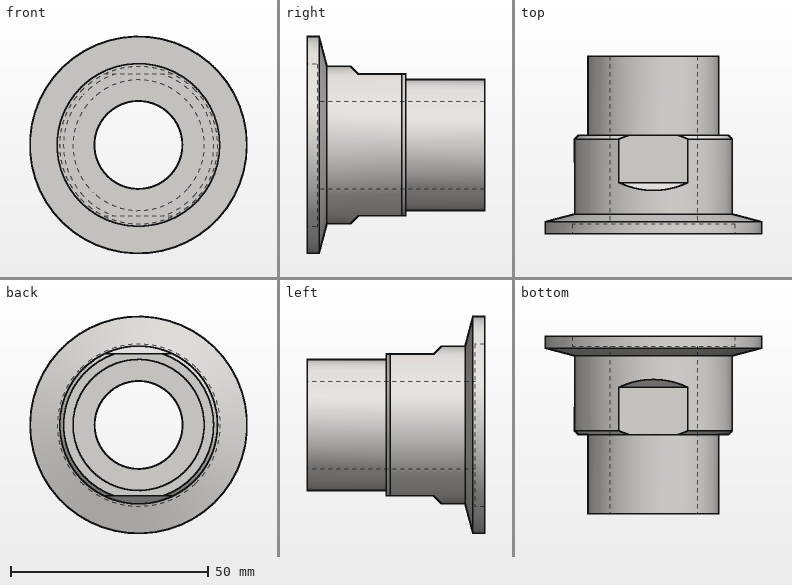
import cadquery as cq

flange_diameter = 55.0
rim_thickness = 3.0
cone_end = 5.0
body_diameter = 40.0
body_end = 24.95
body_chamfer = 1.0
tube_diameter = 33.2
total_length = 45.0
bore_diameter = 22.2
recess_diameter = 41.2
recess_depth = 2.6

across_flats = 35.95
flat_start = 13.0

flange_radius = flange_diameter / 2
body_radius = body_diameter / 2
tube_radius = tube_diameter / 2
bore_radius = bore_diameter / 2
recess_radius = recess_diameter / 2


def turned_body():
    """Half section in the XY plane revolved about the Y axis."""
    section = [
        (bore_radius, recess_depth),
        (recess_radius, recess_depth),
        (recess_radius, 0),
        (flange_radius, 0),
        (flange_radius, rim_thickness),
        (body_radius, cone_end),
        (body_radius, body_end - body_chamfer),
        (body_radius - body_chamfer, body_end),
        (tube_radius, body_end),
        (tube_radius, total_length),
        (bore_radius, total_length),
    ]
    return cq.Workplane("XY").polyline(section).close().revolve(360, (0, 0, 0), (0, 1, 0))


def flat_cutter():
    """Upper flat with a 45 degree run-out toward the flange."""
    flat_height = across_flats / 2
    runout = body_radius - flat_height
    profile = [
        (flat_start, flat_height),
        (body_end, flat_height),
        (body_end, body_radius),
        (flat_start - runout, body_radius),
    ]
    return cq.Workplane("YZ").polyline(profile).close().extrude(body_radius, both=True)


upper_cutter = flat_cutter()
lower_cutter = upper_cutter.mirror("XY")
result = turned_body().cut(upper_cutter).cut(lower_cutter)